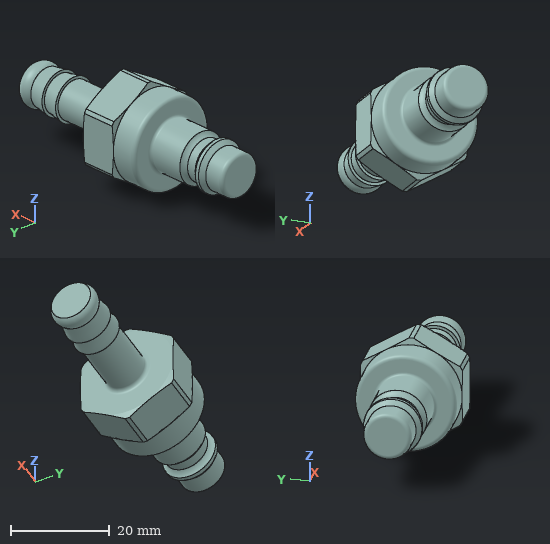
import cadquery as cq
import math

nose_end = 4.9
collar_start = 6.0
collar_end = 6.95
groove_start = 8.15
groove_end = 10.4
shank_start = 11.45
flange_start = 20.0
hex_start = 26.15
hex_end = 35.0
barb_starts = (48.55, 52.5)
barb_land = 0.25
bulb_start = 56.45
barb_ends = (52.15, bulb_start)
length = 60.0

nose_diameter = 10.0
groove_diameter = 9.7
shank_diameter = 12.0
flange_diameter = 21.0
stem_diameter = 9.1
barb_diameter = 10.45
bulb_end_diameter = 8.9

across_flats = 21.0
across_corners = 23.7
hex_chamfer = 0.35

nose_round = 0.95
shank_fillet = 0.7
flange_round = 1.0
stem_fillet = 1.0
groove_wall_hollow = 0.1


def make_plug():
    """Turned plug with its locking collar and groove, up to the flange."""
    nose = nose_diameter / 2
    groove = groove_diameter / 2
    shank = shank_diameter / 2
    flange = flange_diameter / 2
    diagonal = math.sqrt(0.5)
    fillet_x = flange_start - shank_fillet
    fillet_r = shank + shank_fillet
    rounding_x = flange_start + flange_round
    rounding_r = flange - flange_round
    tip_r = nose - nose_round
    return (
        cq.Workplane("XY")
        .moveTo(0, 0)
        .lineTo(0, tip_r)
        .threePointArc(
            (nose_round * (1 - diagonal), tip_r + nose_round * diagonal),
            (nose_round, nose),
        )
        .lineTo(nose_end, nose)
        .lineTo(collar_start, shank)
        .lineTo(collar_end, shank)
        .sagittaArc((groove_start, groove), -groove_wall_hollow)
        .lineTo(groove_end, groove)
        .sagittaArc((shank_start, shank), -groove_wall_hollow)
        .lineTo(fillet_x, shank)
        .threePointArc(
            (fillet_x + shank_fillet * diagonal, fillet_r - shank_fillet * diagonal),
            (flange_start, fillet_r),
        )
        .lineTo(flange_start, rounding_r)
        .threePointArc(
            (rounding_x - flange_round * diagonal, rounding_r + flange_round * diagonal),
            (rounding_x, flange),
        )
        .lineTo(hex_start, flange)
        .lineTo(hex_start, 0)
        .close()
        .revolve(360, (0, 0, 0), (1, 0, 0))
    )


def make_hexagon():
    """Hexagon with its corners turned round and chamfered at both ends."""
    hex_length = hex_end - hex_start
    plane = cq.Workplane("YZ", origin=(hex_start, 0, 0))
    prism = (
        plane.transformed(rotate=(0, 0, 90))
        .polygon(6, across_flats / math.cos(math.pi / 6))
        .extrude(hex_length)
    )
    turned = (
        plane.circle(across_corners / 2)
        .extrude(hex_length)
        .faces("<X or >X")
        .chamfer(hex_chamfer, (across_corners - across_flats) / 2)
    )
    return prism.intersect(turned)


def make_hose_tail():
    """Stem with a root fillet, two tapered barbs and a rounded bulb."""
    stem = stem_diameter / 2
    barb = barb_diameter / 2
    diagonal = math.sqrt(0.5)
    fillet_x = hex_end + stem_fillet
    fillet_r = stem + stem_fillet
    outline = (
        cq.Workplane("XY")
        .moveTo(hex_end, 0)
        .lineTo(hex_end, fillet_r)
        .threePointArc(
            (fillet_x - stem_fillet * diagonal, fillet_r - stem_fillet * diagonal),
            (fillet_x, stem),
        )
    )
    for start, end in zip(barb_starts, barb_ends):
        outline = (
            outline.lineTo(start, stem)
            .lineTo(start, barb)
            .lineTo(start + barb_land, barb)
            .lineTo(end, stem)
        )
    return (
        outline.threePointArc(((bulb_start + length) / 2, barb), (length, bulb_end_diameter / 2))
        .lineTo(length, 0)
        .close()
        .revolve(360, (0, 0, 0), (1, 0, 0))
    )


result = make_plug().union(make_hexagon()).union(make_hose_tail())